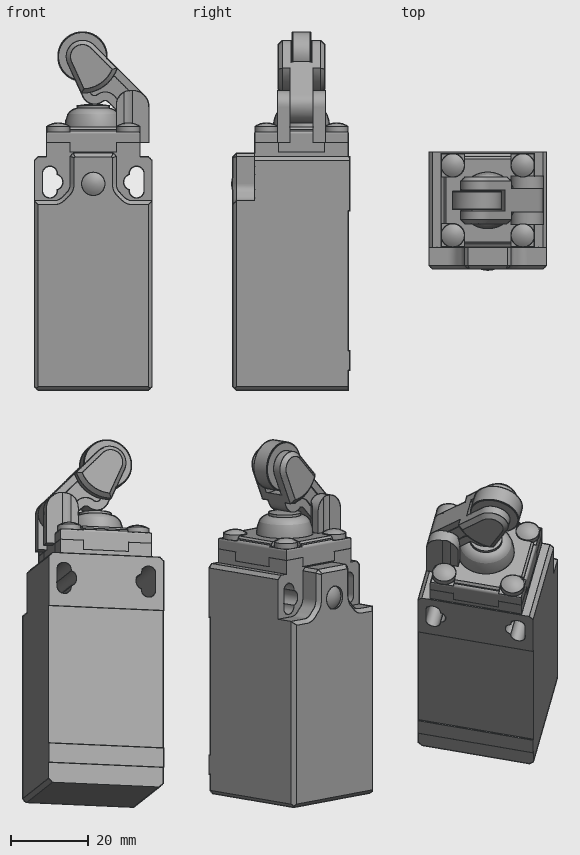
import cadquery as cq
import math


total_height = 92.0

housing_width = 30.3
housing_half_x = housing_width / 2
side_y = 12.05
front_y = -17.7
ledge_z = 48.7
lug_top_z = 60.0
channel_z = 61.2
boss_top_z = 60.9
boss_top_chamfer = 0.8
post_top_z = 63.6
channel_width = 11.9
channel_half = channel_width / 2
edge_chamfer = 1.0
boss_fillet = 3.0
boss_slope = 2.9
rear_pad_y = 12.4
rear_pads = [(46.1, lug_top_z), (5.15, 10.2)]

slot_x = 11.1
slot_z = 53.4
slot_width = 3.8
slot_height = 8.1
slot_lobe_x = 9.8
slot_lobe_radius = 2.0

screw_diameter = 6.0
screw_radius = screw_diameter / 2
screw_dome = 0.9
screw_rim = 1.4
screw_offset = (side_y + channel_half) / 2
cover_screw_z = 53.0
cover_screw_sink = 0.6

head_edge_z = 66.6
head_edge_fillet = 0.8
corner_pad_z = 66.3
plateau_half = side_y - head_edge_fillet
plateau_z = 67.5
plateau_bevel = 0.55

lever_thickness = 8.4
lever_radius = lever_thickness / 2
pivot_x = 10.1
pivot_z = 72.8
roller_x = -2.8
roller_z = pivot_z + (pivot_x - roller_x)
roller_radius = total_height - roller_z
roller_width = 4.8
roller_chamfer = 0.2
fork_slot_width = 5.3
fork_slot_radius = 7.4
fork_radius = 9.4
fork_width = 12.05
fork_chamfer = 1.1
fork_side_angle = math.radians(204.5)
arm_width = 6.0
arm_recess = 0.3
top_rail = 1.9
bottom_rail = 2.2
cam_radius = 3.3
hollow_radius = 1.1
hollow_angle = math.radians(-52)
ear_width = 3.2
ear_near_radius = 3.7

boot_base_radius = 7.3
boot_flank_radius = 7.1
boot_flank_z = 69.2
boot_waist_radius = 6.5
boot_waist_z = 70.8
boot_shoulder_radius = 5.7
boot_shoulder_z = 71.7
boot_top_radius = 4.1
boot_top_z = 72.4
plunger_rim = 0.6
plunger_top_z = 73.4
cam_z = plunger_top_z + cam_radius


def polar(center, radius, angle):
    """Point at a distance and direction from a centre in the XZ plane."""
    return (center[0] + radius * math.cos(angle), center[1] + radius * math.sin(angle))


roller_center = (roller_x, roller_z)
pivot_center = (pivot_x, pivot_z)
cam_inset = lever_radius - cam_radius + (roller_z - cam_z) * math.sin(fork_side_angle)
cam_x = roller_x + cam_inset / math.cos(fork_side_angle)
cam_center = (cam_x, cam_z)
hollow_center = polar(cam_center, cam_radius + hollow_radius, hollow_angle)
up_right = math.radians(45)
crown_angle = (up_right + fork_side_angle) / 2


def slab(profile, width):
    """Extrude an XZ outline symmetrically about Y = 0."""
    return profile.extrude(width).translate((0, width / 2, 0))


def box_between(x_range, y_range, z_range):
    sizes = [high - low for low, high in (x_range, y_range, z_range)]
    return cq.Workplane("XY").box(*sizes, centered=False).translate((x_range[0], y_range[0], z_range[0]))


def corner_blocks(bottom_z, top_z):
    """Four square blocks in the corners of the head's outline."""
    size = side_y - channel_half
    places = [(sx * screw_offset, sy * screw_offset) for sx in (-1, 1) for sy in (-1, 1)]
    base = cq.Workplane("XY", origin=(0, 0, bottom_z))
    return base.pushPoints(places).rect(size, size).extrude(top_z - bottom_z)


def domed_disc(radius, rim, rise):
    """Disc standing on the XY plane: a cylinder of height rim under a spherical dome."""
    sphere_radius = (radius**2 + rise**2) / (2 * rise)
    sphere_drop = sphere_radius - math.sqrt(sphere_radius**2 - (radius / 2) ** 2)
    return (
        cq.Workplane("XZ")
        .lineTo(radius, 0)
        .lineTo(radius, rim)
        .threePointArc((radius / 2, rim + rise - sphere_drop), (0, rim + rise))
        .close()
        .revolve(360, (0, 0), (0, 1))
    )


def domed_screw():
    return domed_disc(screw_radius, screw_rim, screw_dome)


def front_block():
    """Front of the housing, with a central boss between the lugs and a chamfered face."""
    half = housing_half_x
    foot_x = channel_half + boss_slope
    shoulder_z = ledge_z + boss_slope
    block = (
        cq.Workplane("XZ", origin=(0, -side_y, 0))
        .polyline([
            (-half, 0), (half, 0), (half, ledge_z), (foot_x, ledge_z), (channel_half, shoulder_z),
            (channel_half, boss_top_z), (-channel_half, boss_top_z), (-channel_half, shoulder_z),
            (-foot_x, ledge_z), (-half, ledge_z),
        ])
        .close()
        .extrude(-side_y - front_y)
    )
    bends = cq.selectors.BoxSelector((-foot_x - 0.9, front_y - 0.9, ledge_z - 0.9),
                                     (foot_x + 0.9, 0, shoulder_z + 0.9))
    block = block.edges("|Y").edges(bends).fillet(boss_fillet)
    return block.faces(">Z").edges("|Y").chamfer(boss_top_chamfer)


def mounting_slot(side):
    slot = (
        cq.Workplane("XZ", origin=(0, rear_pad_y, 0))
        .center(side * slot_x, slot_z)
        .slot2D(slot_height, slot_width, 90)
        .extrude(rear_pad_y + side_y)
    )
    lobe = (
        cq.Workplane("XZ", origin=(0, rear_pad_y, 0))
        .center(side * slot_lobe_x, slot_z)
        .circle(slot_lobe_radius)
        .extrude(rear_pad_y + side_y)
    )
    return slot.union(lobe)


def add_cover_screw(body):
    """Sink the domed cover screw into a round well in the front face."""
    well = (
        cq.Workplane("XZ", origin=(0, front_y, cover_screw_z))
        .circle(screw_radius)
        .extrude(-cover_screw_sink)
    )
    screw = domed_screw().rotate((0, 0, 0), (1, 0, 0), 90)
    screw = screw.translate((0, front_y + cover_screw_sink + screw_rim, cover_screw_z))
    return body.cut(well).union(screw)


def make_housing():
    across = (-housing_half_x, housing_half_x)
    core = box_between(across, (-side_y, side_y), (0, lug_top_z))
    body = core.union(front_block())
    body = body.faces("<Y").edges().chamfer(edge_chamfer)
    body = body.faces("<Z").edges("|Y").chamfer(edge_chamfer)
    for bottom_z, top_z in rear_pads:
        body = body.union(box_between(across, (side_y, rear_pad_y), (bottom_z, top_z)))
    lug_cut = (
        cq.Workplane("XZ", origin=(0, rear_pad_y, 0))
        .polyline([(-housing_half_x, lug_top_z), (-housing_half_x, lug_top_z - edge_chamfer),
                   (-housing_half_x + edge_chamfer, lug_top_z)])
        .close()
        .extrude(rear_pad_y + side_y)
    )
    body = body.cut(lug_cut).cut(lug_cut.mirror("YZ"))
    square = (-side_y, side_y)
    body = body.union(box_between(square, square, (lug_top_z, channel_z)))
    body = body.union(corner_blocks(channel_z, post_top_z))
    for side in (-1, 1):
        body = body.cut(mounting_slot(side))
    return add_cover_screw(body)


def make_ears():
    """Two upright ears with round tops, relieved around the boot and the nearest screws."""
    top_z = pivot_z + lever_radius
    near_center = (pivot_x - lever_radius + ear_near_radius, top_z - ear_near_radius)
    profile = (
        cq.Workplane("XZ")
        .moveTo(pivot_x - lever_radius, post_top_z)
        .lineTo(pivot_x + lever_radius, post_top_z)
        .lineTo(pivot_x + lever_radius, pivot_z)
        .threePointArc(polar(pivot_center, lever_radius, up_right), (pivot_x, top_z))
        .lineTo(near_center[0], top_z)
        .threePointArc(polar(near_center, ear_near_radius, math.radians(135)),
                       (pivot_x - lever_radius, near_center[1]))
        .close()
    )
    ears = slab(profile, arm_width + 2 * ear_width)
    gap = box_between((0, pivot_x + 2 * lever_radius), (-arm_width / 2, arm_width / 2), (post_top_z, top_z))
    screw_relief = (
        cq.Workplane("XY", origin=(0, 0, corner_pad_z))
        .pushPoints([(screw_offset, -screw_offset), (screw_offset, screw_offset)])
        .circle(screw_radius)
        .extrude(top_z - corner_pad_z)
    )
    boot_relief = (
        cq.Workplane("XY", origin=(0, 0, plateau_z))
        .circle(boot_base_radius)
        .extrude(top_z - plateau_z)
    )
    return ears.cut(gap).cut(screw_relief).cut(boot_relief)


def corner_pads():
    """Recesses for the screw heads, rounded about the screws on their inner corners."""
    inner = (channel_half + screw_offset) / 2
    pads = corner_blocks(corner_pad_z, plateau_z)
    corners = cq.selectors.BoxSelector((-inner, -inner, corner_pad_z), (inner, inner, plateau_z))
    return pads.edges("|Z").edges(corners).fillet(screw_offset - channel_half)


def make_head():
    square = (-side_y, side_y)
    cap = box_between(square, square, (post_top_z, head_edge_z))
    cap = cap.faces(">Z").edges().fillet(head_edge_fillet)
    tongue = box_between(square, square, (channel_z, post_top_z)).cut(corner_blocks(channel_z, post_top_z))
    plateau = (
        cq.Workplane("XY", origin=(0, 0, head_edge_z))
        .rect(2 * plateau_half, 2 * plateau_half)
        .extrude(plateau_z - head_edge_z)
        .faces(">Z")
        .edges()
        .chamfer(plateau_bevel)
    )
    head = cap.union(plateau).cut(corner_pads())
    head = head.union(tongue).union(make_ears())
    for sx in (-1, 1):
        for sy in (-1, 1):
            screw = domed_screw().translate((sx * screw_offset, sy * screw_offset, corner_pad_z))
            head = head.union(screw)
    return head


def make_boot():
    """Rubber boot on the head, bulging to a rounded shoulder under the plunger."""
    return (
        cq.Workplane("XZ")
        .moveTo(0, plateau_z)
        .lineTo(boot_base_radius, plateau_z)
        .threePointArc((boot_flank_radius, boot_flank_z), (boot_waist_radius, boot_waist_z))
        .threePointArc((boot_shoulder_radius, boot_shoulder_z), (boot_top_radius, boot_top_z))
        .lineTo(0, boot_top_z)
        .close()
        .revolve(360, (0, 0), (0, 1))
    )


def make_plunger():
    rise = plunger_top_z - plunger_rim - boot_top_z
    return domed_disc(boot_top_radius, plunger_rim, rise).translate((0, 0, boot_top_z))


def make_arm():
    """Slender arm: round ends, a straight 45 degree back and a cam over the plunger."""
    under_start = polar(hollow_center, hollow_radius, up_right)
    drop = (sum(pivot_center) - sum(under_start)) / math.sqrt(2)
    under_angle = math.radians(225) + math.acos(drop / lever_radius)
    hollow_start = polar(cam_center, cam_radius, hollow_angle)
    hollow_mid = polar(hollow_center, hollow_radius, math.radians(90))
    profile = (
        cq.Workplane("XZ")
        .moveTo(*polar(roller_center, lever_radius, up_right))
        .threePointArc(polar(roller_center, lever_radius, crown_angle),
                       polar(roller_center, lever_radius, fork_side_angle))
        .lineTo(*polar(cam_center, cam_radius, fork_side_angle))
        .threePointArc(polar(cam_center, cam_radius, math.radians(270)), hollow_start)
        .threePointArc(hollow_mid, under_start)
        .lineTo(*polar(pivot_center, lever_radius, under_angle))
        .threePointArc(polar(pivot_center, lever_radius, math.radians(-30)),
                       polar(pivot_center, lever_radius, up_right))
        .close()
    )
    return slab(profile, arm_width)


def arm_pockets():
    """Shallow pockets in both flanks of the arm, leaving a rail along its back and underside."""
    inner_cam = cam_radius - bottom_rail
    inner_hollow = hollow_radius + bottom_rail
    back_offset = lever_radius - top_rail
    profile = (
        cq.Workplane("XZ")
        .moveTo(*polar(roller_center, back_offset, up_right))
        .lineTo(*polar(cam_center, inner_cam, fork_side_angle))
        .threePointArc(polar(cam_center, inner_cam, math.radians(270)),
                       polar(cam_center, inner_cam, hollow_angle))
        .threePointArc(polar(hollow_center, inner_hollow, math.radians(90)),
                       polar(hollow_center, inner_hollow, up_right))
        .lineTo(*polar(pivot_center, back_offset, math.radians(180)))
        .lineTo(*polar(pivot_center, back_offset, up_right))
        .close()
    )
    web_half = arm_width / 2 - arm_recess
    web = box_between((roller_x - fork_radius, pivot_x + fork_radius), (-web_half, web_half),
                      (boot_top_z - fork_radius, roller_z + fork_radius))
    return slab(profile, arm_width).cut(web)


def make_fork():
    """Wide wedge that carries the roller, bounded by an arc about the roller axis."""
    reach = math.acos(lever_radius / fork_radius)
    low_end = fork_side_angle + reach
    high_end = up_right - reach
    mid_angle = (low_end + high_end + 2 * math.pi) / 2
    profile = (
        cq.Workplane("XZ")
        .moveTo(*polar(roller_center, lever_radius, up_right))
        .threePointArc(polar(roller_center, lever_radius, crown_angle),
                       polar(roller_center, lever_radius, fork_side_angle))
        .lineTo(*polar(roller_center, fork_radius, low_end))
        .threePointArc(polar(roller_center, fork_radius, mid_angle),
                       polar(roller_center, fork_radius, high_end))
        .close()
    )
    return slab(profile, fork_width).faces("<Y or >Y").edges().chamfer(fork_chamfer)


def disc_on_roller_axis(radius, width):
    return slab(cq.Workplane("XZ").center(*roller_center).circle(radius), width)


def make_lever():
    lever = make_arm().cut(arm_pockets()).union(make_fork())
    return lever.cut(disc_on_roller_axis(fork_slot_radius, fork_slot_width))


def make_roller():
    return disc_on_roller_axis(roller_radius, roller_width).edges().chamfer(roller_chamfer)


housing = make_housing()
head = make_head()
boot = make_boot()
plunger = make_plunger()
lever = make_lever()
roller = make_roller()

bodies = [housing, head, boot, plunger, lever, roller]
result = cq.Compound.makeCompound([body.solids().val() for body in bodies])